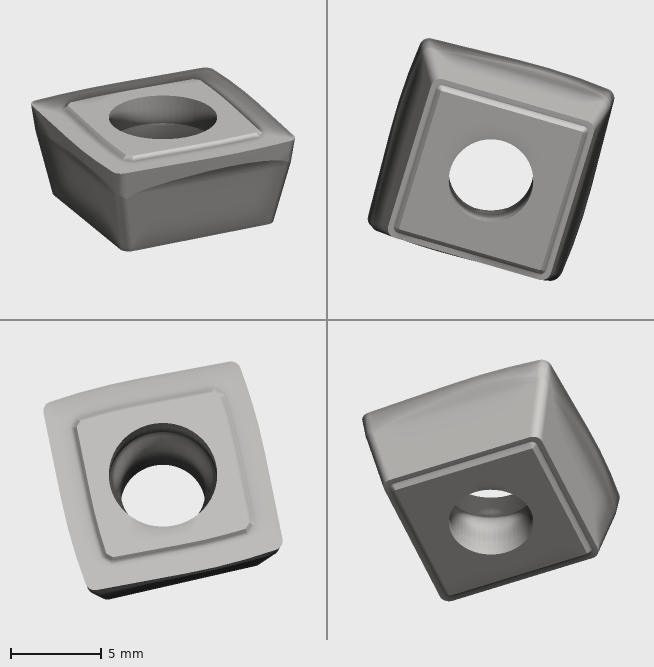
import cadquery as cq
import math

SIDES = 4

TOTAL_HEIGHT = 5.7
LAND_HEIGHT = 5.5
STEP_HEIGHT = 4.0
LEDGE_HEIGHT = 0.27

HALF_WIDTH = 5.8
ARC_START = 0.21
ARC_RADIUS = 33.64
FLANK_ANGLE = 7.0
CORNER_RADIUS = 0.56

SEAT_TURN = 2.4
SEAT_HALF_WIDTH = 5.43
SEAT_ANGLE = 11.0
OVERHANG_RADIUS = 1.97
OVERHANG_SWEEP = 40.0

FOOT_HALF_WIDTH = 4.37
FOOT_CORNER_RADIUS = 0.31
FOOT_BEVEL = 45.0

PAD_INSET = 1.44
PAD_DIAGONAL_HALF = 5.73
PAD_DIAGONAL_TURN = 48.0
PAD_CORNER_RADIUS = 0.17
PAD_SLOPE = 45.0
PAD_FILLET = 0.23

TOLERANCE = 0.001

COUNTERBORE_RADIUS = 3.0
HOLE_RADIUS = 2.34
COUNTERBORE_DEPTH = 1.67
SEAT_DEPTH = 1.67


def turned(point, quarter):
    """Rotate a plan point by whole quarter turns about Z."""
    x, y = point
    for _ in range(quarter):
        x, y = -y, x
    return x, y


def cutting_outline(inset):
    """Sharp-cornered cutting outline, moved inward by inset."""
    half = HALF_WIDTH - inset
    radius = ARC_RADIUS - inset
    centre_y = radius - half

    def on_arc(x):
        return x, centre_y - math.sqrt(radius**2 - (x - ARC_START)**2)

    arc_start = (ARC_START, -half)
    arc_middle = on_arc((ARC_START + half) / 2)
    arc_end = on_arc(half)
    outline = cq.Workplane("XY").moveTo(*turned(arc_end, SIDES - 1))
    for quarter in range(SIDES):
        outline = outline.lineTo(*turned(arc_start, quarter))
        outline = outline.threePointArc(turned(arc_middle, quarter), turned(arc_end, quarter))
    return outline.close()


def upper_body():
    """Block under the cutting outline, tapering inward towards the foot."""
    depth = LAND_HEIGHT - LEDGE_HEIGHT
    block = cutting_outline(0).extrude(-depth, taper=FLANK_ANGLE)
    return block.edges("%BSPLINE").fillet(CORNER_RADIUS).translate((0, 0, LAND_HEIGHT))


def seat_half_width(height):
    """Half-width of the lower square at a height below the step."""
    return SEAT_HALF_WIDTH - (STEP_HEIGHT - height) * math.tan(math.radians(SEAT_ANGLE))


def seat_envelope():
    """Turned square: flat seats below the step, flaring outward as concave sweeps above it."""

    def on_sweep(angle):
        start, now = math.radians(SEAT_ANGLE), math.radians(angle)
        x = SEAT_HALF_WIDTH + OVERHANG_RADIUS * (math.cos(start) - math.cos(now))
        z = STEP_HEIGHT + OVERHANG_RADIUS * (math.sin(now) - math.sin(start))
        return x, z

    sweep_end_angle = SEAT_ANGLE + OVERHANG_SWEEP
    sweep_middle = on_sweep(SEAT_ANGLE + OVERHANG_SWEEP / 2)
    sweep_end = on_sweep(sweep_end_angle)
    run_out = (LAND_HEIGHT - sweep_end[1]) * math.tan(math.radians(sweep_end_angle))
    flare_half_width = sweep_end[0] + run_out

    profile = (
        cq.Workplane("XZ")
        .moveTo(0, LEDGE_HEIGHT)
        .lineTo(seat_half_width(LEDGE_HEIGHT), LEDGE_HEIGHT)
        .lineTo(SEAT_HALF_WIDTH, STEP_HEIGHT)
        .threePointArc(sweep_middle, sweep_end)
        .lineTo(flare_half_width, LAND_HEIGHT)
        .lineTo(0, LAND_HEIGHT)
        .mirrorY()
    )
    bar = profile.extrude(flare_half_width, both=True)
    crossed_bar = bar.rotate((0, 0, 0), (0, 0, 1), 90)
    envelope = bar.intersect(crossed_bar)
    corner_edges = envelope.edges("not(|X or |Y)")
    return corner_edges.fillet(CORNER_RADIUS).rotate((0, 0, 0), (0, 0, 1), SEAT_TURN)


def foot():
    """Bevelled plinth, turned with the lower body."""
    side = 2 * FOOT_HALF_WIDTH
    plinth = cq.Sketch().rect(side, side).vertices().fillet(FOOT_CORNER_RADIUS)
    plinth = cq.Workplane("XY").placeSketch(plinth).extrude(-LEDGE_HEIGHT, taper=FOOT_BEVEL)
    return plinth.translate((0, 0, LEDGE_HEIGHT)).rotate((0, 0, 0), (0, 0, 1), SEAT_TURN)


def raised_pad():
    """Low sloped pad following the cutting outline, its corners cut off by a diagonal square."""
    pad_height = TOTAL_HEIGHT - LAND_HEIGHT
    pad = cutting_outline(PAD_INSET).extrude(pad_height, taper=PAD_SLOPE)
    diagonal_side = 2 * PAD_DIAGONAL_HALF
    diagonal = cq.Workplane("XY").rect(diagonal_side, diagonal_side).extrude(pad_height, taper=PAD_SLOPE)
    pad = pad.intersect(diagonal.rotate((0, 0, 0), (0, 0, 1), PAD_DIAGONAL_TURN))

    def is_corner(edge):
        centre = edge.Center()
        is_rising = edge.BoundingBox().zlen > pad_height / 2
        return is_rising and min(abs(centre.x), abs(centre.y)) > HALF_WIDTH / 2

    pad = pad.edges().filter(is_corner).fillet(PAD_CORNER_RADIUS)
    return pad.translate((0, 0, LAND_HEIGHT))


def is_pad_foot(edge):
    """True for the edges where the pad meets the land."""
    box = edge.BoundingBox()
    on_land = max(abs(box.zmin - LAND_HEIGHT), abs(box.zmax - LAND_HEIGHT)) < TOLERANCE
    reach = max(abs(box.xmin), abs(box.xmax), abs(box.ymin), abs(box.ymax))
    return on_land and reach < HALF_WIDTH - PAD_INSET + TOLERANCE


def screw_hole():
    """Revolved cutter: counterbore, rounded seat, then the through bore."""
    seat_top = TOTAL_HEIGHT - COUNTERBORE_DEPTH
    seat_bottom = seat_top - SEAT_DEPTH
    seat_width = COUNTERBORE_RADIUS - HOLE_RADIUS
    seat_radius = (seat_width**2 + SEAT_DEPTH**2) / (2 * seat_width)
    half_turn = math.asin(SEAT_DEPTH / seat_radius) / 2
    seat_middle = (
        HOLE_RADIUS + seat_radius * (1 - math.cos(half_turn)),
        seat_bottom + seat_radius * math.sin(half_turn),
    )
    return (
        cq.Workplane("XZ")
        .lineTo(HOLE_RADIUS, 0)
        .lineTo(HOLE_RADIUS, seat_bottom)
        .threePointArc(seat_middle, (COUNTERBORE_RADIUS, seat_top))
        .lineTo(COUNTERBORE_RADIUS, TOTAL_HEIGHT)
        .lineTo(0, TOTAL_HEIGHT)
        .close()
        .revolve(360, (0, 0, 0), (0, 1, 0))
    )


body = upper_body().intersect(seat_envelope())
body = body.union(foot()).union(raised_pad())
body = body.edges().filter(is_pad_foot).fillet(PAD_FILLET)
result = body.cut(screw_hole())